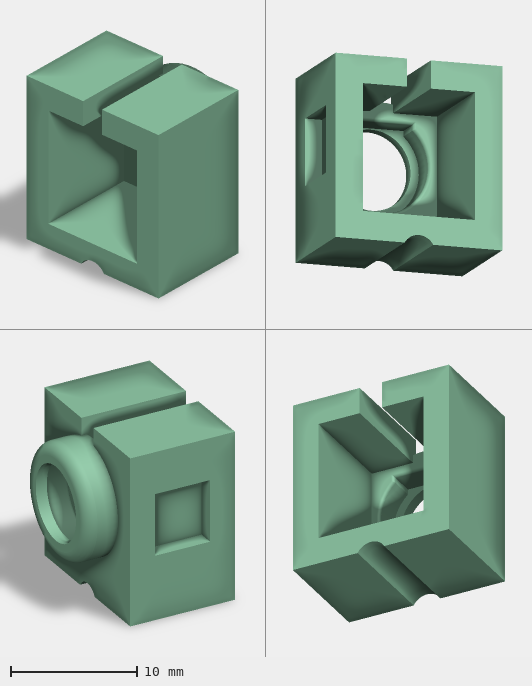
import cadquery as cq
import math

BLOCK_WIDTH = 14.0
BLOCK_DEPTH = 9.5
BLOCK_HEIGHT = 15.0
SIDE_WALL = 2.3
BACK_WALL = 0.5
TOP_SLOT_WIDTH = 2.0

TOTAL_DEPTH = 12.35
BOSS_DIAMETER = 10.0
BOSS_ROUNDING = 1.0
BORE_Z = 8.5

HOLE_DIAMETER = 6.6
RECESS_RADIUS = 4.0
RECESS_FLAT_HEIGHT = 3.4
RECESS_FLAT_WIDTH = 5.4
RECESS_MOUTH_ROUNDING = 0.25
RETAINING_LIP = 1.0

POCKET_LENGTH = 5.0
POCKET_HEIGHT = 5.5
POCKET_DEPTH = 1.4

GROOVE_WIDTH = 2.4
GROOVE_HEIGHT = 0.7

CAVITY_DEPTH = BLOCK_DEPTH - BACK_WALL
RECESS_DEPTH = TOTAL_DEPTH - CAVITY_DEPTH - RETAINING_LIP


def box(x_size, y_size, z_size, y_start, z_start):
    """Box centred on X that starts at the given Y and Z."""
    return (
        cq.Workplane("XY")
        .box(x_size, y_size, z_size, centered=(True, False, False))
        .translate((0, y_start, z_start))
    )


def bore_plane(y):
    """XZ plane on the bore axis at depth y; extrusion goes toward +Y.

    Local x is reversed, which is harmless because all bore outlines are symmetric.
    """
    return cq.Workplane(cq.Plane(origin=(0, y, BORE_Z), xDir=(-1, 0, 0), normal=(0, 1, 0)))


def make_block():
    """Square tube with a thin back wall, split along the top by a slot."""
    block = box(BLOCK_WIDTH, BLOCK_DEPTH, BLOCK_HEIGHT, 0, 0)
    cavity = box(
        BLOCK_WIDTH - 2 * SIDE_WALL,
        CAVITY_DEPTH,
        BLOCK_HEIGHT - 2 * SIDE_WALL,
        0,
        SIDE_WALL,
    )
    slot = box(TOP_SLOT_WIDTH, BLOCK_DEPTH, BLOCK_HEIGHT - BORE_Z, 0, BORE_Z)
    return block.cut(cavity).cut(slot)


def make_boss():
    """Cylinder from the cavity's back face to the rear, with a rounded rear rim."""
    boss = bore_plane(CAVITY_DEPTH).circle(BOSS_DIAMETER / 2).extrude(TOTAL_DEPTH - CAVITY_DEPTH)
    return boss.faces(">Y").edges().fillet(BOSS_ROUNDING)


def cut_keyed_recess(body):
    """Round recess with a stepped flat top and a rounded mouth."""
    half_flat = RECESS_FLAT_WIDTH / 2
    step_z = math.sqrt(RECESS_RADIUS**2 - half_flat**2)
    recess = (
        bore_plane(CAVITY_DEPTH)
        .moveTo(-half_flat, step_z)
        .lineTo(-half_flat, RECESS_FLAT_HEIGHT)
        .lineTo(half_flat, RECESS_FLAT_HEIGHT)
        .lineTo(half_flat, step_z)
        .threePointArc((0, -RECESS_RADIUS), (-half_flat, step_z))
        .close()
        .extrude(RECESS_DEPTH)
    )
    body = body.cut(recess)
    mouth_size = 2 * RECESS_RADIUS + RECESS_MOUTH_ROUNDING
    mouth_edges = cq.selectors.BoxSelector(
        (-mouth_size / 2, CAVITY_DEPTH - RECESS_MOUTH_ROUNDING, BORE_Z - mouth_size / 2),
        (mouth_size / 2, CAVITY_DEPTH + RECESS_MOUTH_ROUNDING, BORE_Z + mouth_size / 2),
        boundingbox=True,
    )
    return body.edges(mouth_edges).fillet(RECESS_MOUTH_ROUNDING)


def make_through_hole():
    """Cylinder on the bore axis through the whole part."""
    return bore_plane(0).circle(HOLE_DIAMETER / 2).extrude(TOTAL_DEPTH)


def make_side_pocket():
    """Block sunk into the -X side, centred on the block depth and the bore height."""
    pocket = cq.Workplane("XY").box(POCKET_DEPTH, POCKET_LENGTH, POCKET_HEIGHT)
    return pocket.translate(((POCKET_DEPTH - BLOCK_WIDTH) / 2, BLOCK_DEPTH / 2, BORE_Z))


def make_bottom_groove():
    """Cylinder whose cap above Z = 0 has the groove's width and height."""
    radius = ((GROOVE_WIDTH / 2) ** 2 + GROOVE_HEIGHT**2) / (2 * GROOVE_HEIGHT)
    return (
        bore_plane(0)
        .center(0, GROOVE_HEIGHT - radius - BORE_Z)
        .circle(radius)
        .extrude(BLOCK_DEPTH)
    )


result = make_block().union(make_boss())
result = cut_keyed_recess(result)
result = result.cut(make_through_hole())
result = result.cut(make_side_pocket())
result = result.cut(make_bottom_groove())